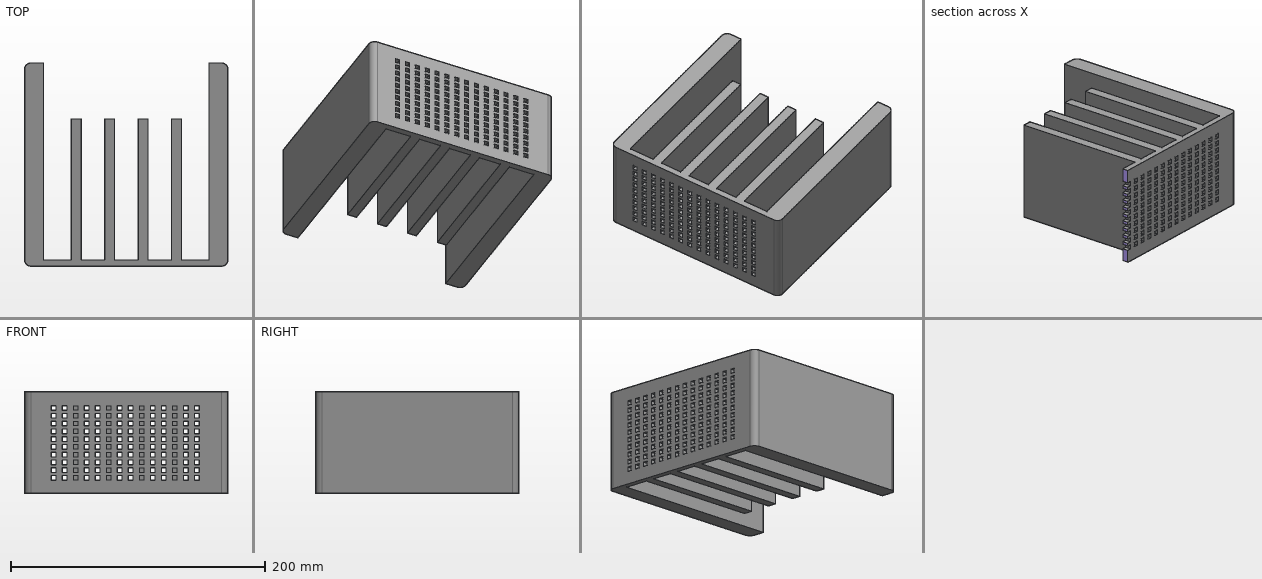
import cadquery as cq

width = 160.0
depth = 160.0
height = 80.0
corner_radius = 5.0

side_wall = 15.0
front_wall = 5.0
fin_count = 4
fin_thickness = 7.9
fin_length = 111.0
fin_pitch = 26.3
fins_offset_x = 0.1

hole_size = 3.5
hole_columns = 14
hole_rows = 10
column_pitch = 26.0 / 3
row_pitch = 6.1
grid_offset_x = -0.82
grid_offset_z = -0.25


def make_shell():
    """Block with rounded vertical corners, opened at the back, top and bottom."""
    block = cq.Workplane("XY").box(width, depth, height).edges("|Z").fillet(corner_radius)
    bay = (
        cq.Workplane("XY")
        .box(width - 2 * side_wall, depth - front_wall, height)
        .translate((0, front_wall / 2, 0))
    )
    return block.cut(bay)


def make_fins():
    """Evenly spaced upright fins standing on the inner face of the front wall."""
    inner_face_y = -depth / 2 + front_wall
    return (
        cq.Workplane("XY")
        .center(fins_offset_x, inner_face_y + fin_length / 2)
        .rarray(fin_pitch, 1, fin_count, 1)
        .rect(fin_thickness, fin_length)
        .extrude(height / 2, both=True)
    )


def make_vent_holes():
    """Square prisms that pass through the front wall only."""
    return (
        cq.Workplane("XZ", origin=(grid_offset_x, -depth / 2, grid_offset_z))
        .rarray(column_pitch, row_pitch, hole_columns, hole_rows)
        .rect(hole_size, hole_size)
        .extrude(-front_wall)
    )


result = make_shell().union(make_fins()).cut(make_vent_holes())